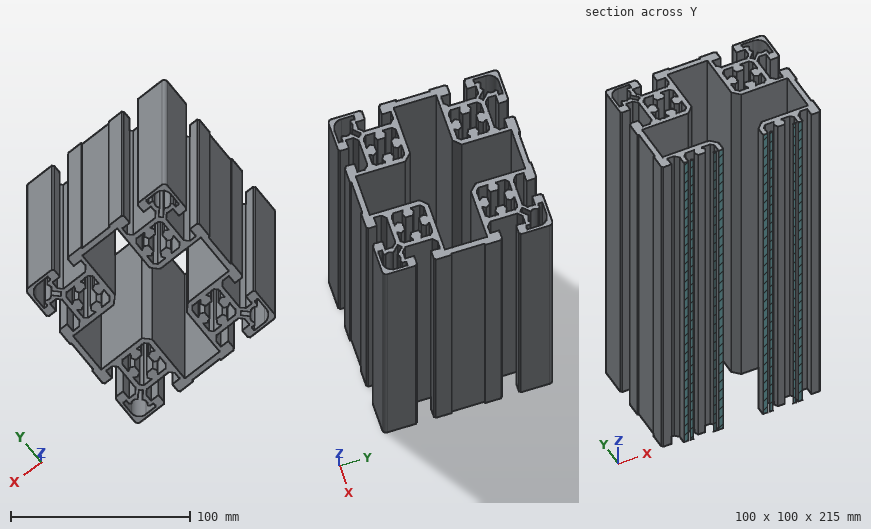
import cadquery as cq
import math

length = 215.0
side = 100.0
half = side / 2
module_center = side / 4
corner_radius = 2.4

slot_opening = 9.9
slot_width = 20.5
lip_thickness = 6.0
slot_depth = 12.7
slot_floor_chamfer = 2.4
lip_radius = 0.9

recess_width = 19.5
recess_depth = 0.9

void_arm_width = 25.0
void_end_wall = 4.3
void_corner_chamfer = 4.0

core_width = 19.0
core_chamfer = 1.7
tooth_tip_gap = 9.7
tooth_tip_width = 4.3
tooth_head_width = 6.9
tooth_neck_width = 4.5
tooth_head_height = 2.2

corner_wall = 1.7
corner_inner_radius = 5.8
web_thickness = 2.4
web_top = 4.0
hook_top = 5.2
hook_height = 0.9
web_flare = 1.0
slit_width = 2.5
slit_end_sum = 28.5


def place_in_quadrant(shape):
    """Turn a shape drawn as depths below two outer faces into the +X +Y quadrant."""
    return shape.rotate((0, 0, 0), (0, 0, 1), 180).translate((half, half, 0))


def swap(point):
    """Mirror a point about the module diagonal."""
    return point[1], point[0]


def in_all_quadrants(shape):
    pair = shape.union(shape.mirror("YZ"))
    return pair.union(pair.mirror("XZ"))


def slot():
    """T-slot open at depth 0 along the second axis."""
    neck = slot_opening / 2
    belly = slot_width / 2
    floor = belly - slot_floor_chamfer
    shoulder = slot_depth - slot_floor_chamfer
    profile = (
        cq.Workplane("XY").center(module_center, 0)
        .moveTo(-neck - lip_radius, 0)
        .lineTo(neck + lip_radius, 0)
        .radiusArc((neck, lip_radius), -lip_radius)
        .lineTo(neck, lip_thickness)
        .lineTo(belly, lip_thickness)
        .lineTo(belly, shoulder)
        .lineTo(floor, slot_depth)
        .lineTo(-floor, slot_depth)
        .lineTo(-belly, shoulder)
        .lineTo(-belly, lip_thickness)
        .lineTo(-neck, lip_thickness)
        .lineTo(-neck, lip_radius)
        .radiusArc((-neck - lip_radius, 0), -lip_radius)
        .close()
    )
    return place_in_quadrant(profile.extrude(length))


def slot_on_other_face():
    return slot().rotate((0, 0, 0), (1, 1, 0), 180).translate((0, 0, length))


def corner_chamber():
    """Chamber symmetric about the module diagonal, ending in the slit."""
    web_outer = module_center - slot_width / 2
    web_inner = web_outer - web_thickness
    slit_offset = slit_width / math.sqrt(2)
    flare_u = web_inner - web_flare
    flare_v = flare_u - slit_offset

    corner = (corner_wall, corner_wall)
    lip_corner = (web_outer, corner_wall)
    web_root = (web_outer, web_top)
    web_shoulder = (web_inner, web_top)
    hook = (web_inner - hook_height, hook_top)
    hollow = (web_inner, (hook_top + flare_v) / 2)
    flare = (flare_u, flare_v)
    slit_end = ((slit_end_sum + slit_offset) / 2, (slit_end_sum - slit_offset) / 2)

    profile = (
        cq.Workplane("XY")
        .moveTo(*corner)
        .lineTo(*lip_corner)
        .lineTo(*web_root)
        .lineTo(*web_shoulder)
        .lineTo(*hook)
        .threePointArc(hollow, flare)
        .lineTo(*slit_end)
        .lineTo(*swap(slit_end))
        .lineTo(*swap(flare))
        .threePointArc(swap(hollow), swap(hook))
        .lineTo(*swap(web_shoulder))
        .lineTo(*swap(web_root))
        .lineTo(*swap(lip_corner))
        .close()
    )
    corner_edge = cq.selectors.NearestToPointSelector((corner_wall, corner_wall, length / 2))
    chamber = profile.extrude(length).edges(corner_edge).fillet(corner_inner_radius)
    return place_in_quadrant(chamber)


def core_chamber():
    chamber = (
        cq.Workplane("XY").rect(core_width, core_width).extrude(length)
        .edges("|Z").chamfer(core_chamfer)
    )
    root = core_width / 2
    head = root - tooth_head_height
    tip = tooth_tip_gap / 2
    tooth_half = [
        (root, tooth_neck_width / 2),
        (head, tooth_head_width / 2),
        (tip, tooth_tip_width / 2),
    ]
    other_half = [(x, -y) for x, y in reversed(tooth_half)]
    tooth = cq.Workplane("XY").polyline(tooth_half + other_half).close().extrude(length)
    for turn in range(4):
        chamber = chamber.cut(tooth.rotate((0, 0, 0), (0, 0, 1), 90 * turn))
    return place_in_quadrant(chamber.translate((module_center, module_center, 0)))


def central_void():
    arm_length = side - 2 * void_end_wall
    arm_x = cq.Workplane("XY").rect(arm_length, void_arm_width).extrude(length)
    arm_y = cq.Workplane("XY").rect(void_arm_width, arm_length).extrude(length)
    diamond_reach = void_arm_width + void_corner_chamfer
    diamond = (
        cq.Workplane("XY")
        .polyline([(diamond_reach, 0), (0, diamond_reach), (-diamond_reach, 0), (0, -diamond_reach)])
        .close()
        .extrude(length)
    )
    return arm_x.union(arm_y).union(diamond)


def face_recesses():
    across_x = cq.Workplane("XY").rect(side, recess_width).extrude(length)
    across_y = cq.Workplane("XY").rect(recess_width, side).extrude(length)
    inner = side - 2 * recess_depth
    core = cq.Workplane("XY").rect(inner, inner).extrude(length)
    return across_x.union(across_y).cut(core)


body = cq.Workplane("XY").rect(side, side).extrude(length).edges("|Z").fillet(corner_radius)
body = body.cut(face_recesses()).cut(central_void())

for quadrant_cut in (
    slot(),
    slot_on_other_face(),
    corner_chamber(),
    core_chamber(),
):
    body = body.cut(in_all_quadrants(quadrant_cut))

result = body